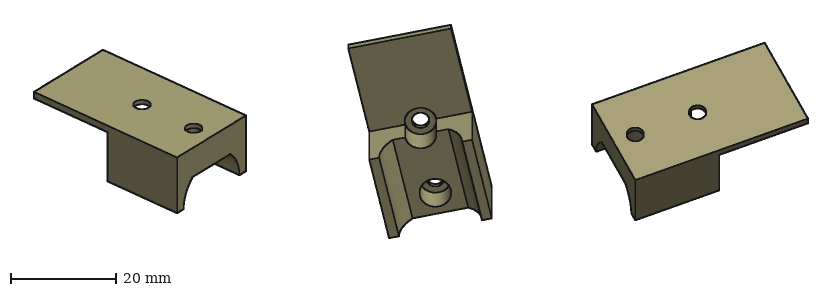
import cadquery as cq

length = 36.0
width = 20.0
height = 12.5

plate_thickness = 1.5
block_start = 18.5
block_length = length - block_start
plate_underside = height - plate_thickness

arch_radius = 8.05
arch_height = 5.98

hole_diameter = 3.3
counterbore_diameter = 6.0
hole_lip_thickness = 1.0
hole_spacing = 13.0
hole_positions = [(block_start, 0), (block_start + hole_spacing, 0)]


def box_from_corner(x, z, size_x, size_z):
    """Full-width box, centred on Y, with its low X and Z faces at x and z."""
    box = cq.Workplane("XY").box(size_x, width, size_z, centered=(False, True, False))
    return box.translate((x, 0, z))


def vertical_cylinders(diameter, bottom, top):
    """Cylinders along Z at both screw positions."""
    plane = cq.Workplane("XY").workplane(offset=bottom)
    return plane.pushPoints(hole_positions).circle(diameter / 2).extrude(top - bottom)


def arch_cut():
    """Cylinder along X centred on the bottom face, cut off flat at the arch height."""
    cylinder = cq.Workplane("YZ").workplane(offset=block_start).circle(arch_radius).extrude(block_length)
    return cylinder.intersect(box_from_corner(block_start, 0, block_length, arch_height))


plate = box_from_corner(0, plate_underside, length, plate_thickness)
block = box_from_corner(block_start, 0, block_length, height)

result = (
    plate.union(block)
    .cut(arch_cut())
    .cut(vertical_cylinders(counterbore_diameter, 0, height - hole_lip_thickness))
    .cut(vertical_cylinders(hole_diameter, 0, height))
)